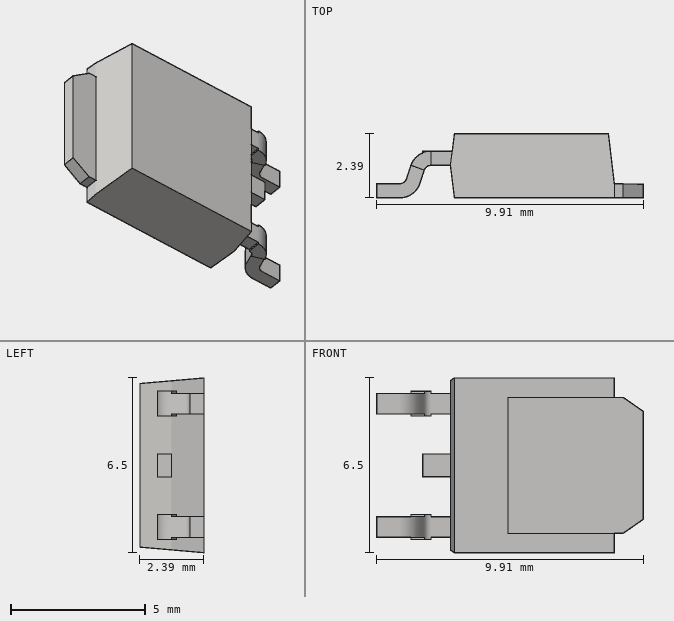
import cadquery as cq
import math

overall_length = 9.91

body_height = 2.39
body_base_half_width = 3.25
body_top_half_width = 3.04
body_start = 2.88
body_nose = 2.74
body_nose_height = 1.2
body_end = 8.83
body_top_end = 8.61

metal_thickness = 0.54
tab_start = 4.88
tab_width = 5.05
tab_end_thickness = 0.52
tab_chamfer_length = 0.75
tab_chamfer_width = 0.53

lead_pitch = 2.29
lead_width = 0.77
lead_shoulder_width = 0.93
lead_top = 1.74
lead_bend_start = 2.02
lead_foot_length = 0.85
upper_bend_angle = math.radians(70)
lower_bend_angle = math.radians(68)
bend_inner_radius = 0.27
bend_outer_radius = bend_inner_radius + metal_thickness
stub_start = 1.7
stub_width = 0.85
lead_bottom = lead_top - metal_thickness


def centred_extrusion(outline, width):
    """Extrude a closed XY outline to the given width, centred on Z = 0."""
    return outline.extrude(width / 2, both=True)


def make_block(x_start, x_end, y_start, y_end, width):
    """Block between two X and two Y positions, centred on Z = 0."""
    outline = cq.Workplane("XY").moveTo(x_start, y_start).lineTo(x_end, y_start)
    outline = outline.lineTo(x_end, y_end).lineTo(x_start, y_end).close()
    return centred_extrusion(outline, width)


def make_body_blank():
    """Body with drafted walls, before the recess for the tab is cut."""
    side_outline = (
        cq.Workplane("XY")
        .polyline([
            (body_start, 0),
            (body_end, 0),
            (body_end, metal_thickness),
            (body_top_end, body_height),
            (body_start, body_height),
            (body_nose, body_nose_height),
        ])
        .close()
    )
    end_section = (
        cq.Workplane("YZ")
        .polyline([
            (0, -body_base_half_width),
            (body_height, -body_top_half_width),
            (body_height, body_top_half_width),
            (0, body_base_half_width),
        ])
        .close()
        .extrude(overall_length)
    )
    return centred_extrusion(side_outline, 2 * body_base_half_width).intersect(end_section)


def make_tab():
    """Plate with its two outer corners cut off and its exposed end slightly thinned."""
    half_width = tab_width / 2
    chamfer_start = overall_length - tab_chamfer_length
    end_half_width = half_width - tab_chamfer_width
    plate = (
        cq.Workplane("XZ")
        .polyline([
            (tab_start, -half_width),
            (chamfer_start, -half_width),
            (overall_length, -end_half_width),
            (overall_length, end_half_width),
            (chamfer_start, half_width),
            (tab_start, half_width),
        ])
        .close()
        .extrude(-metal_thickness)
    )
    side_outline = (
        cq.Workplane("XY")
        .polyline([
            (tab_start, 0),
            (overall_length, 0),
            (overall_length, tab_end_thickness),
            (body_end, metal_thickness),
            (tab_start, metal_thickness),
        ])
        .close()
    )
    return plate.intersect(centred_extrusion(side_outline, tab_width))


def arc_point(centre, radius, angle):
    """Point on a circle, at an angle measured from +X."""
    return (centre[0] + radius * math.cos(angle), centre[1] + radius * math.sin(angle))


def bend_outline(centre, first_angle, last_angle):
    """Closed ring sector that joins two straight lengths of a lead."""
    middle_angle = (first_angle + last_angle) / 2
    return (
        cq.Workplane("XY")
        .moveTo(*arc_point(centre, bend_outer_radius, first_angle))
        .threePointArc(
            arc_point(centre, bend_outer_radius, middle_angle),
            arc_point(centre, bend_outer_radius, last_angle),
        )
        .lineTo(*arc_point(centre, bend_inner_radius, last_angle))
        .threePointArc(
            arc_point(centre, bend_inner_radius, middle_angle),
            arc_point(centre, bend_inner_radius, first_angle),
        )
        .close()
    )


def make_lead(body_blank):
    """Gull-wing lead at Z = 0, its root ending flush on the body wall."""
    upper_first = math.pi / 2
    upper_last = upper_first + upper_bend_angle
    lower_first = -math.pi / 2
    lower_last = lower_first + lower_bend_angle
    upper_centre = (lead_bend_start, lead_top - bend_outer_radius)
    lower_centre = (lead_foot_length, bend_outer_radius)

    root = make_block(lead_bend_start, body_start, lead_bottom, lead_top, lead_width)
    shoulder = centred_extrusion(bend_outline(upper_centre, upper_first, upper_last), lead_shoulder_width)
    leg_outline = (
        cq.Workplane("XY")
        .polyline([
            arc_point(upper_centre, bend_outer_radius, upper_last),
            arc_point(upper_centre, bend_inner_radius, upper_last),
            arc_point(lower_centre, bend_outer_radius, lower_last),
            arc_point(lower_centre, bend_inner_radius, lower_last),
        ])
        .close()
    )
    leg = centred_extrusion(leg_outline, lead_width)
    heel = centred_extrusion(bend_outline(lower_centre, lower_first, lower_last), lead_width)
    foot = make_block(0, lead_foot_length, 0, metal_thickness, lead_width)
    return root.union(shoulder).union(leg).union(heel).union(foot).cut(body_blank)


def make_centre_lead(body_blank):
    """Short straight lead, ending flush on the body wall."""
    return make_block(stub_start, body_start, lead_bottom, lead_top, stub_width).cut(body_blank)


body_blank = make_body_blank()
tab = make_tab()
body = body_blank.cut(tab)
centre_lead = make_centre_lead(body_blank)

leads = []
for side in (-1, 1):
    lead = make_lead(body_blank).translate((0, 0, side * lead_pitch))
    leads.append(lead.val())

result = cq.Compound.makeCompound([body.val(), tab.val(), centre_lead.val(), *leads])